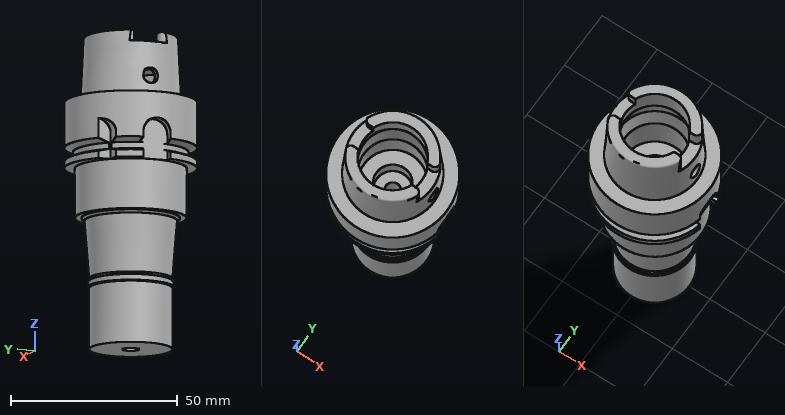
import cadquery as cq
import math

OVERALL_LENGTH = 95.0
SLEEVE_TOP_Z = 18.6
COLLAR_TOP_Z = 20.6
NOSE_BOTTOM_Z = 21.5
BARREL_BOTTOM_Z = 40.0
FLANGE_BOTTOM_Z = 55.1
FLANGE_TOP_Z = 75.2

SLEEVE_RADIUS = 12.5
COLLAR_RADIUS = 12.8
COLLAR_CHAMFER = COLLAR_RADIUS - SLEEVE_RADIUS
NECK_RADIUS = 9.4
NOSE_BOTTOM_RADIUS = 12.5
NOSE_TAPER_ANGLE = 4.5
NOSE_SHOULDER_HEIGHT = 0.9
BARREL_RADIUS = 16.8
FLANGE_RADIUS = 40.0 / 2
SHANK_BASE_RADIUS = 15.2
SHANK_TAPER = 0.1
SHANK_RIM_FILLET = 0.7

GROOVE_RADIUS = 17.4
GROOVE_FLOOR_BOTTOM_Z = 58.1
GROOVE_FLOOR_TOP_Z = 60.0
GROOVE_MOUTH_BOTTOM_Z = 57.3
GROOVE_MOUTH_TOP_Z = 61.3

BORE_RADIUS = 10.5
BORE_DEPTH = 8.0
CAVITY_RADIUS = 12.7
CAVITY_SHOULDER_ANGLE = 30.0
CAVITY_WALL_BOTTOM_Z = 78.85
CAVITY_LEAD_ANGLE = 60.0
BORE_FLOOR_Z = 62.7
COUNTERBORE_RADIUS = 6.0
COUNTERBORE_DEPTH = 7.6
COOLANT_RADIUS = 2.5

NOTCH_HALF_WIDTH = 8.1 / 2
NOTCH_CORNER_RADIUS = 1.6
NOTCH_CORNER_X = 13.0
LEFT_NOTCH_DEPTH = 3.4
RIGHT_NOTCH_DEPTH = 5.7

CROSS_HOLE_DIAMETER = 4.75
CROSS_HOLE_Z = 81.0

SLOT_RADIUS = 4.5
SLOT_CENTRE_Z = 62.8
SLOT_FLOOR_X = 17.0
ORIENTATION_SLOT_Y = 16.3
ORIENTATION_SLOT_FLOOR_X = 12.1

CLEARANCE = 4.75


def turned(outline):
    """Solid of revolution about Z from (radius, z) points, with its seam on the -Y side."""
    profile = cq.Workplane("XZ").polyline(outline).close().revolve(360, (0, 0), (0, 1))
    return profile.rotate((0, 0, 0), (0, 0, 1), -90)


def holder_blank():
    """Turned outside of the holder: nose, barrel, grooved flange and tapered shank."""
    nose_height = BARREL_BOTTOM_Z - NOSE_SHOULDER_HEIGHT - NOSE_BOTTOM_Z
    nose_top_radius = NOSE_BOTTOM_RADIUS + nose_height * math.tan(math.radians(NOSE_TAPER_ANGLE))
    shank_top_radius = SHANK_BASE_RADIUS - SHANK_TAPER / 2 * (OVERALL_LENGTH - FLANGE_TOP_Z)
    outline = [
        (0, NOSE_BOTTOM_Z),
        (NOSE_BOTTOM_RADIUS, NOSE_BOTTOM_Z),
        (nose_top_radius, BARREL_BOTTOM_Z - NOSE_SHOULDER_HEIGHT),
        (nose_top_radius + NOSE_SHOULDER_HEIGHT, BARREL_BOTTOM_Z),
        (BARREL_RADIUS, BARREL_BOTTOM_Z),
        (BARREL_RADIUS, FLANGE_BOTTOM_Z),
        (FLANGE_RADIUS, FLANGE_BOTTOM_Z),
        (FLANGE_RADIUS, GROOVE_MOUTH_BOTTOM_Z),
        (GROOVE_RADIUS, GROOVE_FLOOR_BOTTOM_Z),
        (GROOVE_RADIUS, GROOVE_FLOOR_TOP_Z),
        (FLANGE_RADIUS, GROOVE_MOUTH_TOP_Z),
        (FLANGE_RADIUS, FLANGE_TOP_Z),
        (SHANK_BASE_RADIUS, FLANGE_TOP_Z),
        (shank_top_radius, OVERALL_LENGTH),
        (0, OVERALL_LENGTH),
    ]
    return turned(outline).faces(">Z").edges().fillet(SHANK_RIM_FILLET)


def holder_bore():
    """Stepped axial bore: entry, undercut clamping cavity, counterbore and coolant hole."""
    cavity_top_z = OVERALL_LENGTH - BORE_DEPTH
    undercut = CAVITY_RADIUS - BORE_RADIUS
    shoulder_height = undercut * math.tan(math.radians(CAVITY_SHOULDER_ANGLE))
    lead_height = undercut * math.tan(math.radians(CAVITY_LEAD_ANGLE))
    counterbore_floor_z = BORE_FLOOR_Z - COUNTERBORE_DEPTH
    outline = [
        (0, NOSE_BOTTOM_Z),
        (COOLANT_RADIUS, NOSE_BOTTOM_Z),
        (COOLANT_RADIUS, counterbore_floor_z),
        (COUNTERBORE_RADIUS, counterbore_floor_z),
        (COUNTERBORE_RADIUS, BORE_FLOOR_Z),
        (BORE_RADIUS, BORE_FLOOR_Z),
        (BORE_RADIUS, CAVITY_WALL_BOTTOM_Z - lead_height),
        (CAVITY_RADIUS, CAVITY_WALL_BOTTOM_Z),
        (CAVITY_RADIUS, cavity_top_z - shoulder_height),
        (BORE_RADIUS, cavity_top_z),
        (BORE_RADIUS, OVERALL_LENGTH),
        (0, OVERALL_LENGTH),
    ]
    return turned(outline)


def drive_notch(side, depth):
    """Notch on the +X (side = 1) or -X (side = -1) rim that leaves rounded corners on the tangs."""
    reach = FLANGE_RADIUS
    arc_start_x = NOTCH_CORNER_X - NOTCH_CORNER_RADIUS
    corner_y = NOTCH_HALF_WIDTH + NOTCH_CORNER_RADIUS
    arc_mid_offset = NOTCH_CORNER_RADIUS * math.sqrt(0.5)
    arc_mid = (side * (arc_start_x + arc_mid_offset), corner_y - arc_mid_offset)
    return (
        cq.Workplane("XY")
        .workplane(offset=OVERALL_LENGTH - depth)
        .moveTo(0, -NOTCH_HALF_WIDTH)
        .lineTo(side * arc_start_x, -NOTCH_HALF_WIDTH)
        .threePointArc((arc_mid[0], -arc_mid[1]), (side * NOTCH_CORNER_X, -corner_y))
        .lineTo(side * NOTCH_CORNER_X, -reach)
        .lineTo(side * reach, -reach)
        .lineTo(side * reach, reach)
        .lineTo(side * NOTCH_CORNER_X, reach)
        .lineTo(side * NOTCH_CORNER_X, corner_y)
        .threePointArc(arc_mid, (side * arc_start_x, NOTCH_HALF_WIDTH))
        .lineTo(0, NOTCH_HALF_WIDTH)
        .close()
        .extrude(depth)
    )


def cross_hole():
    """Radial hole along X through both walls of the shank."""
    return (
        cq.Workplane("YZ")
        .center(0, CROSS_HOLE_Z)
        .circle(CROSS_HOLE_DIAMETER / 2)
        .extrude(FLANGE_RADIUS, both=True)
    )


def flange_slot(side, centre_y, floor_x):
    """Round-topped slot sunk along X into the +X (side = 1) or -X (side = -1) side of the flange."""
    return (
        cq.Workplane("YZ")
        .workplane(offset=side * floor_x)
        .moveTo(centre_y - SLOT_RADIUS, FLANGE_BOTTOM_Z)
        .lineTo(centre_y - SLOT_RADIUS, SLOT_CENTRE_Z)
        .threePointArc((centre_y, SLOT_CENTRE_Z + SLOT_RADIUS), (centre_y + SLOT_RADIUS, SLOT_CENTRE_Z))
        .lineTo(centre_y + SLOT_RADIUS, FLANGE_BOTTOM_Z)
        .close()
        .extrude(side * (FLANGE_RADIUS + CLEARANCE - floor_x))
    )


def make_holder():
    """Holder with its tapered shank at the top and its nose at the bottom."""
    holder = holder_blank().cut(holder_bore()).cut(cross_hole())
    for side, depth in ((-1, LEFT_NOTCH_DEPTH), (1, RIGHT_NOTCH_DEPTH)):
        holder = holder.cut(drive_notch(side, depth))
        holder = holder.cut(flange_slot(side, 0, SLOT_FLOOR_X))
    return holder.cut(flange_slot(-1, ORIENTATION_SLOT_Y, ORIENTATION_SLOT_FLOOR_X))


def make_collar():
    """Thin collar below the nose, with the narrow neck that spaces it from the holder."""
    outline = [
        (COOLANT_RADIUS, SLEEVE_TOP_Z),
        (SLEEVE_RADIUS, SLEEVE_TOP_Z),
        (COLLAR_RADIUS, SLEEVE_TOP_Z + COLLAR_CHAMFER),
        (COLLAR_RADIUS, COLLAR_TOP_Z),
        (NECK_RADIUS, COLLAR_TOP_Z),
        (NECK_RADIUS, NOSE_BOTTOM_Z),
        (COOLANT_RADIUS, NOSE_BOTTOM_Z),
    ]
    return turned(outline)


def make_sleeve():
    """Plain cylinder at the bottom, with the coolant hole through it."""
    outline = [
        (COOLANT_RADIUS, 0),
        (SLEEVE_RADIUS, 0),
        (SLEEVE_RADIUS, SLEEVE_TOP_Z),
        (COOLANT_RADIUS, SLEEVE_TOP_Z),
    ]
    return turned(outline)


holder = make_holder()
collar = make_collar()
sleeve = make_sleeve()
result = cq.Compound.makeCompound([*holder.solids().vals(), collar.val(), sleeve.val()])